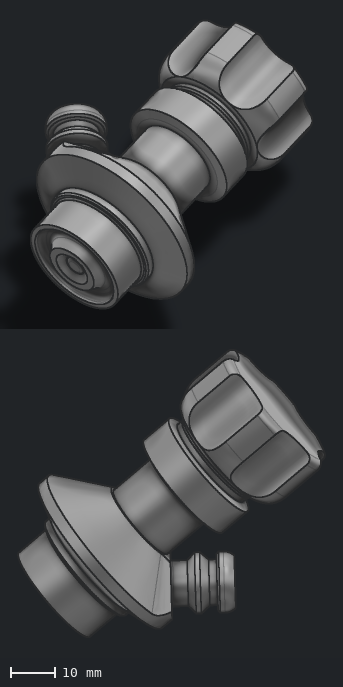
import cadquery as cq
import math


socket_radius = 25.0 / 2
socket_front = 0.9
socket_back = 9.5
socket_step_radius = 13.0
cavity_radius = 22.5 / 2
cavity_floor = 3.15
cavity_fillet = 1.45
floor_inner_radius = 8.85

boss_radius = 6.3
boss_root_radius = 7.6
boss_root = 2.3
cone_hole_radius = 4.45
pin_radius = 5.0 / 2
pin_tip_radius = 1.6
pin_tip = 0.9
cone_hole_depth = 1.2

collar_radius = 14.0
collar_chamfer = 0.4
collar_front = 9.9
collar_back = 12.05

flange_radius = 43.0 / 2
rim_front = 14.85
rim_back = 17.6
flange_back = 26.9
flange_top_radius = 10.2

neck_radius = 19.0 / 2
ring_radius = 13.8
ring_front = 39.1
ring_back = 48.0
ring_chamfer = 0.6
ring_front_radius = 23.0 / 2
ring_back_radius = 23.6 / 2
stub_radius = 23.0 / 2
stub_lip_radius = 23.6 / 2
stub_lip_start = 49.45
stub_lip_full = 50.1

knob_radius = 17.5
knob_front_radius = 13.8
knob_front = 51.2
knob_straight = 57.1
knob_back = 68.5
knob_edge_fillet = 1.85
scallop_count = 6
scallop_radius = 16.2 / 2
scallop_start_angle = 7.4

pad_half_angle = 48.0
flank_half_angle = 20.0

nozzle_station = 7.75
nozzle_neck_radius = 10.5 / 2
nozzle_head_radius = 14.0 / 2
nozzle_face_radius = 5.95
nozzle_height = 14.45
nozzle_root_fillet = 0.4
bead_start = 3.8
bead_low = 5.5
bead_high = 6.65
bead_end = 8.6
head_start = 10.4
head_chamfer = 0.55
head_round_start = 12.0
mouth_radius = 4.1
mouth_depth = 1.2
bore_radius = 4.65 / 2

pin_edge_round = pin_radius - pin_tip_radius
cone_run = flange_radius - flange_top_radius
cone_rise = flange_back - rim_back
cone_slope = math.degrees(math.atan2(cone_rise, cone_run))
apex_y = rim_back + flange_radius * cone_rise / cone_run
knob_round_drop = knob_radius - knob_front_radius
knob_round_length = knob_straight - knob_front
head_round_drop = nozzle_head_radius - nozzle_face_radius
head_round_length = nozzle_height - head_round_start


def round_middle(drop, length):
    """Mid-point (drop, length) of an arc that starts tangent to the length direction."""
    radius = (drop ** 2 + length ** 2) / (2 * drop)
    half_sweep = math.asin(length / radius) / 2
    return radius * (1 - math.cos(half_sweep)), radius * math.sin(half_sweep)


def fillet_middle(radius):
    """Inset of a quarter-round's mid-point from the corner it replaces."""
    return radius * (1 - math.sqrt(0.5))


def make_body():
    """Socket, flange, neck, ring and stub as one revolved solid."""
    inset = fillet_middle(cavity_fillet)
    pin_inset = fillet_middle(pin_edge_round)
    profile = (
        cq.Workplane("XY")
        .moveTo(0, pin_tip)
        .lineTo(pin_tip_radius, pin_tip)
        .threePointArc(
            (pin_radius - pin_inset, pin_tip + pin_inset),
            (pin_radius, pin_tip + pin_edge_round),
        )
        .lineTo(pin_radius, cone_hole_depth)
        .lineTo(cone_hole_radius, 0)
        .lineTo(boss_radius, 0)
        .lineTo(boss_root_radius, boss_root)
        .tangentArcPoint((floor_inner_radius, cavity_floor), relative=False)
        .lineTo(cavity_radius - cavity_fillet, cavity_floor)
        .threePointArc(
            (cavity_radius - inset, cavity_floor - inset),
            (cavity_radius, cavity_floor - cavity_fillet),
        )
        .lineTo(cavity_radius, socket_front)
        .lineTo(socket_radius, socket_front)
        .lineTo(socket_radius, socket_back)
        .lineTo(socket_step_radius, collar_front)
        .lineTo(collar_radius - collar_chamfer, collar_front)
        .lineTo(collar_radius, collar_front + collar_chamfer)
        .lineTo(collar_radius, collar_back)
        .lineTo(flange_radius, rim_front)
        .lineTo(flange_radius, rim_back)
        .lineTo(flange_top_radius, flange_back)
        .lineTo(neck_radius, flange_back)
        .lineTo(neck_radius, ring_front)
        .lineTo(ring_front_radius, ring_front)
        .lineTo(ring_radius, ring_front + ring_chamfer)
        .lineTo(ring_radius, ring_back - ring_chamfer)
        .lineTo(ring_back_radius, ring_back)
        .lineTo(stub_radius, ring_back)
        .lineTo(stub_radius, stub_lip_start)
        .lineTo(stub_lip_radius, stub_lip_full)
        .lineTo(stub_lip_radius, knob_front)
        .lineTo(0, knob_front)
        .close()
    )
    return profile.revolve(360, (0, 0, 0), (0, 1, 0))


def make_knob():
    """Rounded knob with finger scallops around its side."""
    drop, length = round_middle(knob_round_drop, knob_round_length)
    inset = fillet_middle(knob_edge_fillet)
    knob = (
        cq.Workplane("XY")
        .moveTo(0, knob_front)
        .lineTo(knob_front_radius, knob_front)
        .threePointArc((knob_radius - drop, knob_straight - length), (knob_radius, knob_straight))
        .lineTo(knob_radius, knob_back - knob_edge_fillet)
        .threePointArc(
            (knob_radius - inset, knob_back - inset),
            (knob_radius - knob_edge_fillet, knob_back),
        )
        .lineTo(0, knob_back)
        .close()
        .revolve(360, (0, 0, 0), (0, 1, 0))
    )
    scallop_distance = knob_front_radius + scallop_radius
    for index in range(scallop_count):
        angle = math.radians(scallop_start_angle + index * 360 / scallop_count)
        scallop = cq.Solid.makeCylinder(
            scallop_radius,
            knob_back - knob_front,
            cq.Vector(
                scallop_distance * math.cos(angle),
                knob_front,
                scallop_distance * math.sin(angle),
            ),
            cq.Vector(0, 1, 0),
        )
        knob = knob.cut(cq.Workplane(scallop))
    return knob


def make_flank_cutter(side):
    """Cone sharing the flange cone's apex and touching it along one line."""
    tilt = math.radians(90 - cone_slope + flank_half_angle)
    turn = math.radians(pad_half_angle)
    direction = cq.Vector(
        -math.sin(tilt) * math.cos(turn),
        -math.cos(tilt),
        side * math.sin(tilt) * math.sin(turn),
    )
    length = 2 * flange_radius
    end_radius = length * math.tan(math.radians(flank_half_angle))
    return cq.Workplane(cq.Solid.makeCone(0, end_radius, length, cq.Vector(0, apex_y, 0), direction))


def make_pad():
    """Flat pad tangent to the flange cone, with hollow flanks running out on the cone."""
    wedge = (
        cq.Workplane("XY")
        .moveTo(0, rim_back)
        .lineTo(-flange_radius, rim_back)
        .lineTo(-flange_top_radius, flange_back)
        .lineTo(0, flange_back)
        .close()
        .extrude(flange_radius, both=True)
    )
    reach = 2 * flange_radius
    half_width = reach * math.tan(math.radians(pad_half_angle))
    sector = (
        cq.Workplane("XZ", origin=(0, rim_back, 0))
        .polyline([(0, 0), (-reach, half_width), (-reach, -half_width)])
        .close()
        .extrude(-cone_rise)
    )
    rim = cq.Workplane("XZ", origin=(0, rim_back, 0)).circle(flange_radius).extrude(-cone_rise)
    pad = wedge.intersect(rim).intersect(sector)
    for side in (-1, 1):
        pad = pad.cut(make_flank_cutter(side))
    return pad


def nozzle_plane():
    """Plane through the nozzle axis: local Y is the axis, local zero is the pad face."""
    slope = math.radians(cone_slope)
    origin = (
        -flange_radius + nozzle_station * math.cos(slope),
        rim_back + nozzle_station * math.sin(slope),
        0,
    )
    return cq.Plane(origin=origin, xDir=(math.cos(slope), math.sin(slope), 0), normal=(0, 0, 1))


def make_nozzle():
    """Barbed nozzle standing square on the pad."""
    drop, length = round_middle(head_round_drop, head_round_length)
    inset = fillet_middle(nozzle_root_fillet)
    profile = (
        cq.Workplane(nozzle_plane())
        .moveTo(0, -nozzle_root_fillet)
        .lineTo(nozzle_neck_radius + nozzle_root_fillet, -nozzle_root_fillet)
        .lineTo(nozzle_neck_radius + nozzle_root_fillet, 0)
        .threePointArc((nozzle_neck_radius + inset, inset), (nozzle_neck_radius, nozzle_root_fillet))
        .lineTo(nozzle_neck_radius, bead_start)
        .lineTo(nozzle_head_radius, bead_low)
        .lineTo(nozzle_head_radius, bead_high)
        .lineTo(nozzle_neck_radius, bead_end)
        .lineTo(nozzle_neck_radius, head_start)
        .lineTo(nozzle_head_radius - head_chamfer, head_start)
        .lineTo(nozzle_head_radius, head_start + head_chamfer)
        .lineTo(nozzle_head_radius, head_round_start)
        .threePointArc(
            (nozzle_head_radius - drop, head_round_start + length),
            (nozzle_face_radius, nozzle_height),
        )
        .lineTo(0, nozzle_height)
        .close()
    )
    return profile.revolve(360, (0, 0, 0), (0, 1, 0))


def make_nozzle_bore():
    """Blind bore down to the pad face with a conical mouth."""
    profile = (
        cq.Workplane(nozzle_plane())
        .lineTo(bore_radius, 0)
        .lineTo(bore_radius, nozzle_height - mouth_depth)
        .lineTo(mouth_radius, nozzle_height)
        .lineTo(0, nozzle_height)
        .close()
    )
    return profile.revolve(360, (0, 0, 0), (0, 1, 0))


result = make_body().union(make_knob()).union(make_pad()).union(make_nozzle()).cut(make_nozzle_bore())